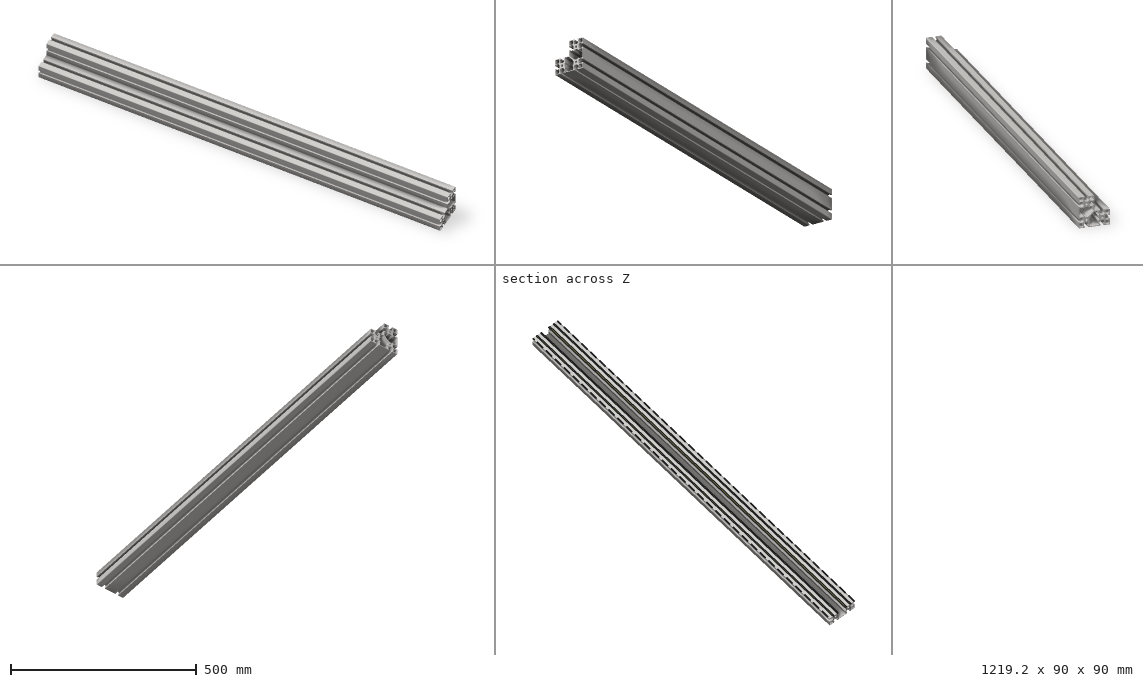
import cadquery as cq
import math

LENGTH = 1219.2
MODULE = 45.0
SIDE = 2 * MODULE
HALF_MODULE = MODULE / 2
CORNER_RADIUS = 2.0

SLOT_WIDTH = 10.0
LIP_THICKNESS = 4.2
POCKET_WIDTH = 15.0
SLOT_DEPTH = 14.8
FLOOR_WIDTH = 7.4
POCKET_SIDE_DEPTH = SLOT_DEPTH - (POCKET_WIDTH - FLOOR_WIDTH) / 2
POCKET_RADIUS = 4.0

CORE_HOLE_DIAMETER = 7.27
ARM_REACH = 11.4
WALL = 1.7
HOLLOW_RADIUS = 2.0
WEB = 1.5
DIAGONAL_WEB = 3.0

HOLLOW_END = HALF_MODULE - POCKET_WIDTH / 2 - WEB
POCKET_END = HALF_MODULE + POCKET_WIDTH / 2
CAVITY_END = MODULE - WALL
FAR_CENTER = MODULE + HALF_MODULE

CORNER_CORE = (HALF_MODULE, HALF_MODULE)
UPPER_CORE = (HALF_MODULE, FAR_CENTER)
SIDE_CORE = (FAR_CENTER, HALF_MODULE)
CORES = (CORNER_CORE, UPPER_CORE, SIDE_CORE)

FACING_DOWN, FACING_INWARD, FACING_UP, FACING_OUTWARD = range(4)
SLOTS = {
    CORNER_CORE: (FACING_DOWN, FACING_OUTWARD),
    UPPER_CORE: (FACING_INWARD, FACING_UP, FACING_OUTWARD),
    SIDE_CORE: (FACING_DOWN, FACING_INWARD, FACING_UP),
}


def prism(points):
    """Full-length prism with the given (u, v) outline."""
    outline = [(SIDE / 2 - u, v - SIDE / 2) for u, v in points]
    return cq.Workplane("YZ").polyline(outline).close().extrude(LENGTH)


def bar(u_start, v_start, u_end, v_end):
    """Full-length rectangular bar between two opposite (u, v) corners."""
    return prism([(u_start, v_start), (u_end, v_start), (u_end, v_end), (u_start, v_end)])


def swap(points):
    """Mirror (u, v) points across the diagonal of the L."""
    return [(v, u) for u, v in points]


def quarter_turn(point, turns):
    """Turn a point about the origin by whole quarter turns."""
    u, v = point
    for _ in range(turns):
        u, v = -v, u
    return u, v


def placed(points, center, turns=0):
    """Turn points about a module center given relative to that center."""
    turned = [quarter_turn(point, turns) for point in points]
    return [(center[0] + u, center[1] + v) for u, v in turned]


def l_body():
    outline = [(0, 0), (SIDE, 0), (SIDE, MODULE), (MODULE, MODULE), (MODULE, SIDE), (0, SIDE)]
    return prism(outline).edges("|X").fillet(CORNER_RADIUS)


def t_slot(center, turns):
    half_profile = [
        (SLOT_WIDTH / 2, 0),
        (SLOT_WIDTH / 2, LIP_THICKNESS),
        (POCKET_WIDTH / 2, LIP_THICKNESS),
        (POCKET_WIDTH / 2, POCKET_SIDE_DEPTH),
        (FLOOR_WIDTH / 2, SLOT_DEPTH),
    ]
    right = [(u, depth - HALF_MODULE) for u, depth in half_profile]
    left = [(-u, v) for u, v in reversed(right)]
    slot = prism(placed(right + left, center, turns))
    for side in (-1, 1):
        corner = (side * POCKET_WIDTH / 2, POCKET_SIDE_DEPTH - HALF_MODULE)
        u, v = placed([corner], center, turns)[0]
        selector = cq.NearestToPointSelector((0, SIDE / 2 - u, v - SIDE / 2))
        slot = slot.edges("|X").edges(selector).fillet(POCKET_RADIUS)
    return slot


def core(center):
    """X-shaped core whose four faces match the slot floors."""
    core_half = HALF_MODULE - SLOT_DEPTH
    tip_half_width = FLOOR_WIDTH / 2 + ARM_REACH - core_half
    face = [
        (-tip_half_width, -ARM_REACH),
        (-FLOOR_WIDTH / 2, -core_half),
        (FLOOR_WIDTH / 2, -core_half),
        (tip_half_width, -ARM_REACH),
    ]
    outline = []
    for turns in range(4):
        outline += placed(face, center, turns)
    return prism(outline)


def core_hole(center):
    u, v = center
    hole = cq.Workplane("YZ").center(SIDE / 2 - u, v - SIDE / 2)
    return hole.circle(CORE_HOLE_DIAMETER / 2).extrude(LENGTH)


def corner_hollows():
    """Rounded square hollows in the five free corners of the L."""
    near = (WALL, HOLLOW_END)
    inner = (MODULE - HOLLOW_END, MODULE - WALL)
    far = (SIDE - HOLLOW_END, SIDE - WALL)
    hollows = []
    for (u_start, u_end), (v_start, v_end) in (
        (near, near),
        (near, far),
        (inner, far),
        (far, near),
        (far, inner),
    ):
        hollow = bar(u_start, v_start, u_end, v_end)
        hollows.append(hollow.edges("|X").fillet(HOLLOW_RADIUS))
    return hollows


def diagonal_web():
    offset = DIAGONAL_WEB / 2 / math.sqrt(2)
    start = HALF_MODULE
    end = MODULE
    return prism(
        [
            (start + offset, start - offset),
            (end + offset, end - offset),
            (end - offset, end + offset),
            (start - offset, start + offset),
        ]
    )


def central_cavity():
    """L-shaped cavity round the cores, divided by the diagonal web."""
    recess_start = HALF_MODULE - POCKET_WIDTH / 2
    near_web = POCKET_END + WEB
    far_web = FAR_CENTER - POCKET_WIDTH / 2 - WEB
    beside_wall = [
        (WALL, near_web),
        (CAVITY_END, near_web),
        (CAVITY_END, far_web),
        (WALL, far_web),
    ]
    between_cores = [
        (recess_start, HALF_MODULE),
        (near_web, HALF_MODULE),
        (near_web, FAR_CENTER),
        (recess_start, FAR_CENTER),
    ]
    cavity = prism(between_cores).union(prism(swap(between_cores)))
    for outline in (beside_wall, swap(beside_wall)):
        cavity = cavity.union(prism(outline).edges("|X").fillet(HOLLOW_RADIUS))
    for center in CORES:
        cavity = cavity.cut(core(center))
    return cavity.cut(diagonal_web())


result = l_body().cut(central_cavity())
for module_center, facings in SLOTS.items():
    result = result.cut(core_hole(module_center))
    for facing in facings:
        result = result.cut(t_slot(module_center, facing))
for void in corner_hollows():
    result = result.cut(void)